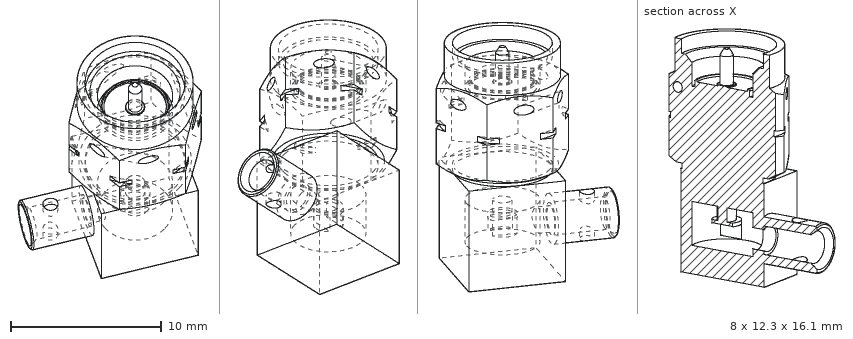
import cadquery as cq
import math

total_height = 16.15

block_side = 6.75
block_height = 7.17
neck_radius = 3.33

nut_flats = 8.0
nut_corner_radius = nut_flats / 2 / math.cos(math.radians(30))
nut_bottom = 7.55
nut_top = 13.84
collar_radius = 3.88
nut_bottom_face_radius = 3.75
nut_chamfer_slope = math.tan(math.radians(30))
corner_groove_radius = 4.25
corner_groove_width = 0.4
corner_groove_z = 10.75
wire_hole_diameter = 0.7
wire_hole_offset = 3.6
wire_hole_z = 12.76
wire_hole_angles = (90, 210, 330)

counterbore_radius = 3.33
counterbore_depth = 1.0
socket_cone_radius = 3.0
socket_radius = 2.5
sleeve_radius = 2.3
sleeve_chamfer = 0.1
sleeve_bore_radius = 2.08
sleeve_top = 13.52
sleeve_height = 0.5
sleeve_recess = 0.15

pin_radius = 0.45
pin_tip_radius = 0.2
pin_top = 15.88
pin_cone_height = 0.44
pin_collar_radius = 0.65
pin_collar_chamfer = 0.03
pin_collar_height = 0.06

tube_length = 4.28
tube_radius = 1.71
tube_chamfer = 0.1
tube_z = 3.26
tube_bore_radius = 1.1
tube_mouth_radius = 1.42
tube_mouth_depth = 0.5
cable_hole_radius = 0.89
cross_hole_diameter = 1.0
cross_hole_to_tip = 1.76
tube_tip_y = -block_side / 2 - tube_length

chamber_radius = 2.5
chamber_floor = 2.0
chamber_ceiling = 5.0
foot_radius = 1.0
foot_bottom = 2.7
foot_top = 4.05
foot_slot_width = 1.03
foot_slot_top = 3.8


def upright_cylinder(radius, bottom, top):
    """Cylinder on the Z axis between two heights."""
    return cq.Workplane("XY").workplane(offset=bottom).circle(radius).extrude(top - bottom)


def upright_cone(bottom_radius, top_radius, bottom, top):
    """Truncated cone on the Z axis between two heights."""
    cone = cq.Solid.makeCone(bottom_radius, top_radius, top - bottom, cq.Vector(0, 0, bottom))
    return cq.Workplane(obj=cone)


def tube_axis_plane(y):
    """Workplane across the tube axis whose normal points inward, to +Y."""
    return cq.Workplane(cq.Plane(origin=(0, y, tube_z), xDir=(1, 0, 0), normal=(0, 1, 0)))


def make_block():
    block = cq.Workplane("XY").box(block_side, block_side, block_height, centered=(True, True, False))
    return block.union(upright_cylinder(neck_radius, block_height, nut_bottom))


def make_nut():
    nut_height = nut_top - nut_bottom
    hexagon = (
        cq.Workplane("XY")
        .workplane(offset=nut_bottom)
        .polygon(6, 2 * nut_corner_radius)
        .extrude(nut_height)
        .rotate((0, 0, 0), (0, 0, 1), 30)
    )
    lower_bevel_top = nut_bottom + (nut_corner_radius - nut_bottom_face_radius) * nut_chamfer_slope
    upper_bevel_bottom = nut_top - (nut_corner_radius - collar_radius) * nut_chamfer_slope
    barrel = (
        upright_cone(nut_bottom_face_radius, nut_corner_radius, nut_bottom, lower_bevel_top)
        .union(upright_cylinder(nut_corner_radius, lower_bevel_top, upper_bevel_bottom))
        .union(upright_cone(nut_corner_radius, collar_radius, upper_bevel_bottom, nut_top))
    )
    nut = hexagon.intersect(barrel)

    groove_bottom = corner_groove_z - corner_groove_width / 2
    groove_top = corner_groove_z + corner_groove_width / 2
    groove = upright_cylinder(nut_corner_radius, groove_bottom, groove_top).cut(
        upright_cylinder(corner_groove_radius, groove_bottom, groove_top)
    )
    nut = nut.cut(groove)

    for angle in wire_hole_angles:
        hole = (
            cq.Workplane("YZ")
            .center(-wire_hole_offset, wire_hole_z)
            .circle(wire_hole_diameter / 2)
            .extrude(nut_corner_radius, both=True)
            .rotate((0, 0, 0), (0, 0, 1), angle + 90)
        )
        nut = nut.cut(hole)
    return nut.union(upright_cylinder(collar_radius, nut_top, total_height))


def cut_socket(body):
    shelf = total_height - counterbore_depth
    cone_bottom = shelf - (socket_cone_radius - socket_radius)
    socket_floor = sleeve_top - sleeve_height
    body = body.cut(upright_cylinder(counterbore_radius, shelf, total_height))
    body = body.cut(upright_cone(socket_radius, socket_cone_radius, cone_bottom, shelf))
    body = body.cut(upright_cylinder(socket_radius, socket_floor, cone_bottom))
    sleeve = upright_cylinder(sleeve_radius, socket_floor, sleeve_top)
    sleeve = sleeve.faces(">Z").edges().chamfer(sleeve_chamfer)
    sleeve = sleeve.cut(upright_cylinder(sleeve_bore_radius, sleeve_top - sleeve_recess, sleeve_top))
    return body.union(sleeve)


def make_pin():
    base = sleeve_top - sleeve_recess
    cone_base = pin_top - pin_cone_height
    collar = upright_cylinder(pin_collar_radius, base, base + pin_collar_height)
    collar = collar.faces(">Z").edges().chamfer(pin_collar_chamfer)
    pin = collar.union(upright_cylinder(pin_radius, base, cone_base))
    return pin.union(upright_cone(pin_radius, pin_tip_radius, cone_base, pin_top))


def make_tube():
    tube = tube_axis_plane(tube_tip_y).circle(tube_radius).extrude(tube_length)
    return tube.faces("<Y").edges().chamfer(tube_chamfer)


def cut_tube_holes(body):
    body = body.cut(tube_axis_plane(tube_tip_y).circle(tube_bore_radius).extrude(tube_length))
    body = body.cut(tube_axis_plane(tube_tip_y).circle(cable_hole_radius).extrude(-tube_tip_y - foot_radius))
    mouth = cq.Solid.makeCone(
        tube_mouth_radius,
        tube_bore_radius,
        tube_mouth_depth,
        cq.Vector(0, tube_tip_y, tube_z),
        cq.Vector(0, 1, 0),
    )
    body = body.cut(cq.Workplane(obj=mouth))
    cross_hole = (
        upright_cylinder(cross_hole_diameter / 2, tube_z - tube_radius, tube_z + tube_radius)
        .translate((0, tube_tip_y + cross_hole_to_tip, 0))
    )
    return body.cut(cross_hole)


def make_foot():
    slot_depth = foot_slot_top - foot_bottom
    foot = upright_cylinder(foot_radius, foot_bottom, foot_top)
    slot = (
        cq.Workplane("XY")
        .workplane(offset=foot_bottom)
        .rect(foot_slot_width, 2 * foot_radius)
        .extrude(slot_depth)
    )
    return foot.cut(slot).union(upright_cylinder(pin_collar_radius, foot_top, chamber_ceiling))


body = make_block().union(make_nut())
body = cut_socket(body).union(make_pin()).union(make_tube())
body = body.cut(upright_cylinder(chamber_radius, chamber_floor, chamber_ceiling))
body = cut_tube_holes(body)
result = body.union(make_foot())